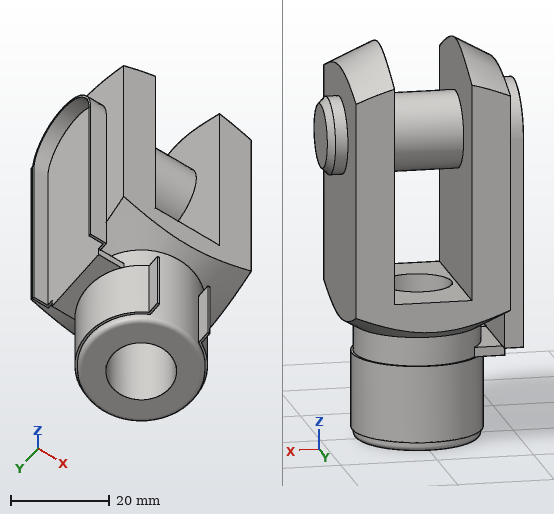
import cadquery as cq
import math

total_height = 83.0
fork_width = 32.0
slot_width = fork_width / 2
slot_floor_z = 32.0
cone_slope = math.tan(math.radians(30))

neck_radius = 26.0 / 2
neck_top_z = 24.0
neck_bottom_fillet = 1.0
bore_diameter = 14.4

pin_diameter = 16.0
pin_z = 64.0
pin_end_x = 20.0
pin_chamfer = 1.4

sheet = 0.5
tray_radius = 10.05
tray_outer_x = -20.0
tray_bottom_z = 20.0
tab_width = 16.1
sleeve_bottom_z = 2.0
sleeve_top_z = 18.0
sleeve_gap = 12.1
lip_end_y = -14.7

fork_side_x = -fork_width / 2


def make_fork():
    """Square bar turned to a cone at each end, with a round neck, slot and bore."""
    envelope_radius = fork_width
    apex_z = total_height + slot_width / 2 * cone_slope
    lower_cone_z = neck_top_z + (envelope_radius - neck_radius) * cone_slope
    upper_cone_z = apex_z - envelope_radius * cone_slope
    envelope = (
        cq.Workplane("XZ")
        .moveTo(0, neck_top_z)
        .lineTo(neck_radius, neck_top_z)
        .lineTo(envelope_radius, lower_cone_z)
        .lineTo(envelope_radius, upper_cone_z)
        .lineTo(0, apex_z)
        .close()
        .revolve(360, (0, 0, 0), (0, 1, 0))
    )
    bar = cq.Workplane("XY").rect(fork_width, fork_width).extrude(apex_z)
    neck = (
        cq.Workplane("XY")
        .circle(neck_radius)
        .extrude(slot_floor_z)
        .faces("<Z")
        .edges()
        .fillet(neck_bottom_fillet)
    )
    slot = (
        cq.Workplane("XY", origin=(0, 0, slot_floor_z))
        .rect(slot_width, 2 * fork_width)
        .extrude(total_height)
    )
    bore = cq.Workplane("XY").circle(bore_diameter / 2).extrude(slot_floor_z)
    return bar.intersect(envelope).union(neck).cut(slot).cut(bore)


def make_pin():
    """Pin from the tray floor through both fork arms, chamfered at its free end."""
    return (
        cq.Workplane("YZ", origin=(fork_side_x, 0, pin_z))
        .circle(pin_diameter / 2)
        .extrude(pin_end_x - fork_side_x)
        .faces(">X")
        .edges()
        .chamfer(pin_chamfer)
    )


def round_topped_plate(radius, start_x, end_x):
    """Plate across X with a half-round top centred on the pin."""
    return (
        cq.Workplane("YZ", origin=(start_x, 0, 0))
        .moveTo(-radius, tray_bottom_z)
        .lineTo(-radius, pin_z)
        .threePointArc((0, pin_z + radius), (radius, pin_z))
        .lineTo(radius, tray_bottom_z)
        .close()
        .extrude(end_x - start_x)
    )


def make_tray():
    """Shallow tray open outward and at the bottom, with its floor on the fork."""
    outside = round_topped_plate(tray_radius, tray_outer_x, fork_side_x)
    inside = round_topped_plate(tray_radius - sheet, tray_outer_x, fork_side_x - sheet)
    return outside.cut(inside)


def make_tab():
    """Tab joining the tray floor to the neck and the sleeve."""
    tab_outer_x = fork_side_x - sheet
    tab = (
        cq.Workplane("XY", origin=(0, 0, sleeve_top_z))
        .moveTo(tab_outer_x / 2, 0)
        .rect(-tab_outer_x, tab_width)
        .extrude(tray_bottom_z - sleeve_top_z)
    )
    neck_core = cq.Workplane("XY").circle(neck_radius).extrude(neck_top_z)
    return tab.cut(neck_core)


def make_sleeve():
    """Sleeve around the neck, split on -Y, with a straight lip on each side of the gap."""
    base = cq.Workplane("XY", origin=(0, 0, sleeve_bottom_z))
    height = sleeve_top_z - sleeve_bottom_z
    sleeve = base.circle(neck_radius + sheet).extrude(height)
    lip_block = (
        base.center(0, lip_end_y / 2)
        .rect(sleeve_gap + 2 * sheet, -lip_end_y)
        .extrude(height)
    )
    gap = base.center(0, -fork_width / 2).rect(sleeve_gap, fork_width).extrude(height)
    neck_core = base.circle(neck_radius).extrude(height)
    return sleeve.union(lip_block).cut(gap).cut(neck_core)


result = make_fork()
for piece in (make_pin(), make_tray(), make_sleeve(), make_tab()):
    result = result.union(piece)